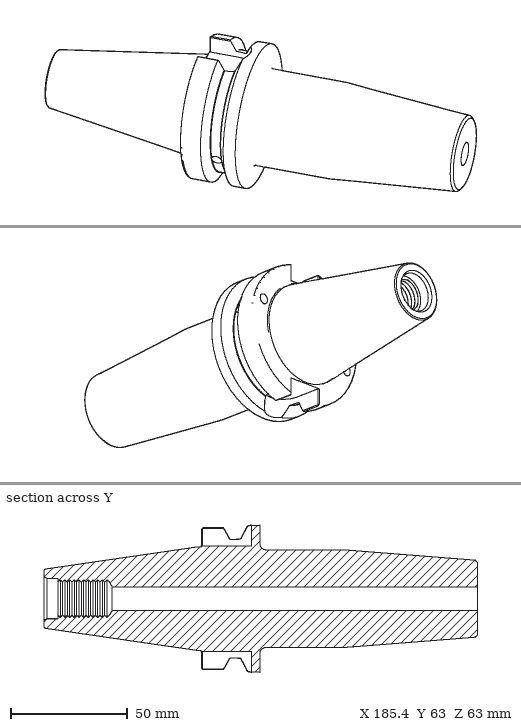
import math

import cadquery as cq


gauge_diameter = 44.45
shank_length = 65.4
taper_ratio = 7 / 24
shank_end_chamfer = 0.5

flange_diameter = 63.0
flange_start = 2.0
flange_end = 27.0
flange_edge_fillet = 1.0
taper_overrun = 0.5
neck_fillet = 0.5

groove_center = 16.45
groove_floor_width = 4.6
groove_floor_diameter = 53.2
groove_half_angle = 30.0
groove_corner_fillet = 0.3

body_diameter = 42.0
tip_diameter = 33.0
nose_end = 120.0
nose_taper_angle = 4.5
body_fillet = 2.5
tip_chamfer = 1.0

slot_width = 16.1
slot_floor_height = 22.6
slot_end = 23.25
slot_edge_chamfer = 0.5

mouth_diameter = 18.6
pilot_diameter = 17.0
pilot_depth = 6.0
thread_diameter = 16.0
thread_minor_diameter = 14.0
thread_pitch = 2.0
thread_turns = 11
through_diameter = 10.0
drill_half_angle = 59.0

coolant_angle = 20.4
coolant_pitch_radius = 26.6
axial_hole_diameter = 4.4
axial_hole_depth = 8.0
radial_hole_diameter = 4.5
radial_hole_depth = 6.4

shank_start = -shank_length
flange_radius = flange_diameter / 2


def revolve_about_spindle(profile):
    return profile.close().revolve(360, (0, 0, 0), (1, 0, 0))


def make_body():
    """Solid of revolution: shank, plain flange and nose."""
    gauge_radius = gauge_diameter / 2
    neck_radius = gauge_radius + taper_overrun * taper_ratio / 2
    small_end_radius = gauge_radius - shank_length * taper_ratio / 2
    body_radius = body_diameter / 2
    tip_radius = tip_diameter / 2
    nose_taper_length = (body_radius - tip_radius) / math.tan(math.radians(nose_taper_angle))
    profile = (
        cq.Workplane("XZ")
        .moveTo(shank_start, 0)
        .lineTo(shank_start, small_end_radius)
        .lineTo(taper_overrun, neck_radius)
        .lineTo(flange_start - neck_fillet, neck_radius)
        .radiusArc((flange_start, neck_radius + neck_fillet), -neck_fillet)
        .lineTo(flange_start, flange_radius - flange_edge_fillet)
        .radiusArc((flange_start + flange_edge_fillet, flange_radius), flange_edge_fillet)
        .lineTo(flange_end, flange_radius)
        .lineTo(flange_end, body_radius + body_fillet)
        .radiusArc((flange_end + body_fillet, body_radius), -body_fillet)
        .lineTo(nose_end - nose_taper_length, body_radius)
        .lineTo(nose_end, tip_radius)
        .lineTo(nose_end, 0)
    )
    body = revolve_about_spindle(profile)
    body = body.faces("<X").edges().chamfer(shank_end_chamfer)
    return body.faces(">X").edges().chamfer(tip_chamfer)


def make_groove():
    """V-shaped ring with a flat floor, open at the flange rim."""
    floor_radius = groove_floor_diameter / 2
    half_floor = groove_floor_width / 2
    depth = flange_radius - floor_radius
    half_mouth = half_floor + depth * math.tan(math.radians(groove_half_angle))
    profile = (
        cq.Workplane("XZ")
        .moveTo(groove_center - half_floor, floor_radius)
        .lineTo(groove_center + half_floor, floor_radius)
        .lineTo(groove_center + half_mouth, flange_radius)
        .lineTo(groove_center - half_mouth, flange_radius)
    )
    groove = revolve_about_spindle(profile)
    return groove.edges(cq.selectors.RadiusNthSelector(0)).fillet(groove_corner_fillet)


def make_drive_slot():
    """Round-ended cutter for the +Z slot, flared to chamfer its rim and flange face edges."""
    half_width = slot_width / 2
    height = flange_radius - slot_floor_height
    slot = (
        cq.Workplane("XY", origin=(0, 0, slot_floor_height))
        .moveTo(0, -half_width)
        .lineTo(slot_end - half_width, -half_width)
        .radiusArc((slot_end - half_width, half_width), -half_width)
        .lineTo(0, half_width)
        .close()
        .extrude(height)
    )
    rim_height = math.sqrt(flange_radius**2 - half_width**2)
    flare_bottom = rim_height - slot_edge_chamfer
    flare_rise = flange_radius - flare_bottom
    rim_flare = (
        cq.Workplane("YZ")
        .moveTo(-half_width, flare_bottom)
        .lineTo(half_width, flare_bottom)
        .lineTo(half_width + flare_rise, flange_radius)
        .lineTo(-half_width - flare_rise, flange_radius)
        .close()
        .extrude(groove_center)
    )
    flared_half_width = half_width + slot_edge_chamfer
    entry_flare = (
        cq.Workplane("XY", origin=(flange_start, 0, slot_floor_height))
        .moveTo(0, -flared_half_width)
        .lineTo(slot_edge_chamfer, -half_width)
        .lineTo(slot_edge_chamfer, half_width)
        .lineTo(0, flared_half_width)
        .close()
        .extrude(height)
    )
    return slot.union(rim_flare).union(entry_flare)


def make_bore():
    """Countersunk pilot, ring-grooved thread and drilled through hole."""
    mouth_radius = mouth_diameter / 2
    pilot_radius = pilot_diameter / 2
    crest_radius = thread_minor_diameter / 2
    root_radius = thread_diameter / 2
    through_radius = through_diameter / 2
    countersink_depth = (mouth_radius - pilot_radius) * math.sqrt(3)
    thread_start = shank_start + pilot_depth
    profile = (
        cq.Workplane("XZ")
        .moveTo(shank_start, 0)
        .lineTo(shank_start, mouth_radius)
        .lineTo(shank_start + countersink_depth, pilot_radius)
        .lineTo(thread_start, pilot_radius)
        .lineTo(thread_start, crest_radius)
    )
    for turn in range(thread_turns):
        turn_start = thread_start + turn * thread_pitch
        profile = profile.lineTo(turn_start + thread_pitch / 2, root_radius)
        profile = profile.lineTo(turn_start + thread_pitch, crest_radius)
    thread_end = thread_start + thread_turns * thread_pitch
    drill_length = (crest_radius - through_radius) / math.tan(math.radians(drill_half_angle))
    profile = (
        profile.lineTo(thread_end + drill_length, through_radius)
        .lineTo(nose_end, through_radius)
        .lineTo(nose_end, 0)
    )
    return revolve_about_spindle(profile)


def make_coolant_holes():
    """Axial hole in the flange face and radial hole in the groove floor, on the +Y side."""
    axial = (
        cq.Workplane("YZ", origin=(flange_start, coolant_pitch_radius, 0))
        .circle(axial_hole_diameter / 2)
        .extrude(axial_hole_depth)
    )
    radial = (
        cq.Workplane("XZ", origin=(groove_center, flange_radius, 0))
        .circle(radial_hole_diameter / 2)
        .extrude(flange_radius - groove_floor_diameter / 2 + radial_hole_depth)
    )
    return axial.union(radial).rotate((0, 0, 0), (1, 0, 0), coolant_angle)


def cut_on_both_sides(body, cutter):
    """Cut with the tool and with its copy turned half way round the spindle axis."""
    return body.cut(cutter).cut(cutter.rotate((0, 0, 0), (1, 0, 0), 180))


result = make_body().cut(make_groove()).cut(make_bore())
result = cut_on_both_sides(result, make_drive_slot())
result = cut_on_both_sides(result, make_coolant_holes())